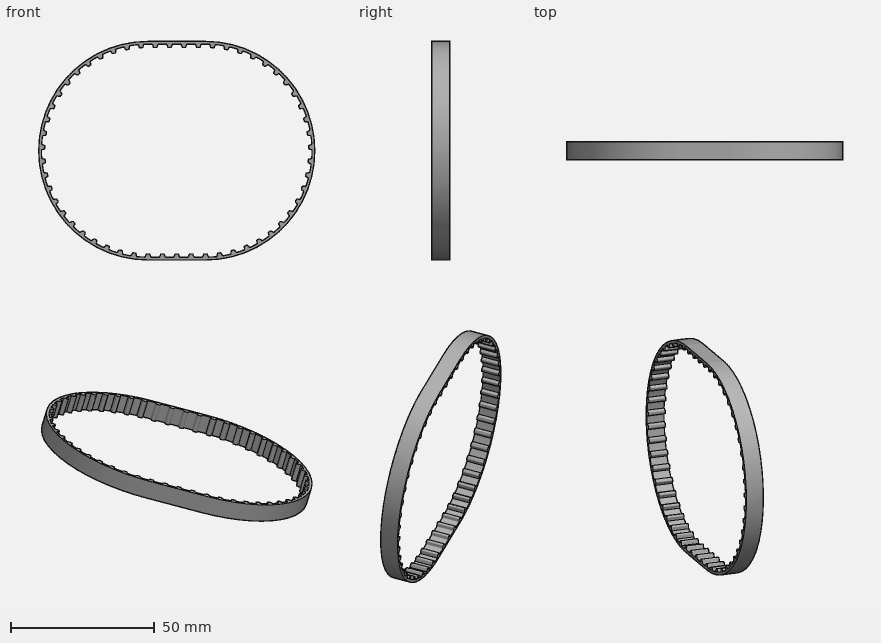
import cadquery as cq
import math

overall_length = 96.2
overall_height = 76.2
belt_width = 6.35
band_thickness = 1.1
outer_radius = overall_height / 2
straight_length = overall_length - overall_height
inner_radius = outer_radius - band_thickness

tooth_count = 55
tooth_height = 1.2
tooth_root_width = 2.0
tooth_flank_angle = 20.0
tooth_tip_radius = 0.4
tooth_root_radius = 0.3
pitch_line_depth = 0.7
foot_depth = 0.3
corner_margin = 0.1

pitch_radius = outer_radius - pitch_line_depth
half_arc_length = math.pi * pitch_radius / 2
half_straight = straight_length / 2
tooth_pitch = (2 * straight_length + 4 * half_arc_length) / tooth_count


def make_slot(radius):
    """Solid with the loop outline, centred on the origin and running along Y."""
    return (
        cq.Workplane("XZ")
        .slot2D(straight_length + 2 * radius, 2 * radius)
        .extrude(belt_width / 2, both=True)
    )


def make_tooth():
    """Tooth pointing up +Z from a thin foot, with its root line on the XY plane."""
    root_half = tooth_root_width / 2
    tip_half = root_half - tooth_height * math.tan(math.radians(tooth_flank_angle))
    foot_half = root_half + tooth_root_radius
    profile = (
        cq.Workplane("XZ")
        .moveTo(-foot_half, -foot_depth)
        .lineTo(-foot_half, 0)
        .lineTo(-root_half, 0)
        .lineTo(-tip_half, tooth_height)
        .lineTo(tip_half, tooth_height)
        .lineTo(root_half, 0)
        .lineTo(foot_half, 0)
        .lineTo(foot_half, -foot_depth)
        .close()
    )
    tooth = profile.extrude(belt_width / 2, both=True)
    tooth = tooth.edges("|Y and >Z").fillet(tooth_tip_radius)
    root_corners = cq.selectors.BoxSelector(
        (-root_half - corner_margin, -belt_width, -corner_margin),
        (root_half + corner_margin, belt_width, corner_margin),
    )
    return tooth.edges("|Y").edges(root_corners).fillet(tooth_root_radius)


def place_tooth(tooth, distance):
    """Put a tooth on the inner face, at a signed pitch-line distance from the bottom middle."""
    side = math.copysign(1, distance)
    travel = abs(distance)
    arc_travel = min(max(travel - half_straight, 0), 2 * half_arc_length)
    turn = math.degrees(arc_travel / pitch_radius)
    top_travel = max(travel - half_straight - 2 * half_arc_length, 0)
    offset = side * (min(travel, half_straight) - top_travel)
    return (
        tooth.translate((0, 0, -inner_radius))
        .rotate((0, 0, 0), (0, 1, 0), -side * turn)
        .translate((offset, 0, 0))
    )


belt = make_slot(outer_radius).cut(make_slot(inner_radius))

base_tooth = make_tooth()
teeth = []
for index in range(tooth_count):
    steps_from_bottom = index - tooth_count // 2
    teeth.append(place_tooth(base_tooth, steps_from_bottom * tooth_pitch).val())

result = cq.Workplane(belt.val().fuse(*teeth)).clean()